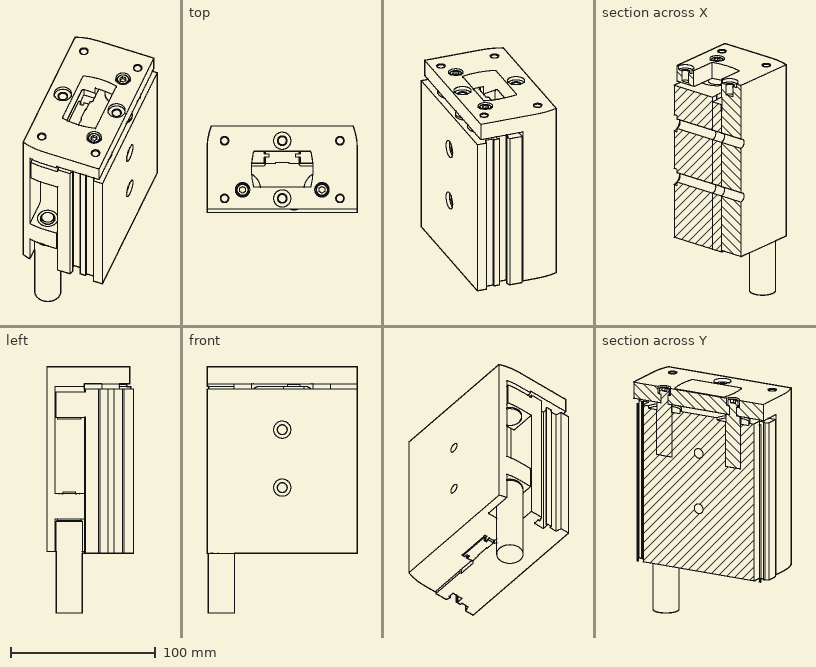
import cadquery as cq
import math


width = 104.0
depth = 60.0
height = 170.5
half_width = width / 2
margin = 8.5

plate_thickness = 12.0
plate_bottom = height - plate_thickness
pad_bottom = plate_bottom - 1.7
housing_top = plate_bottom - 3.4
housing_bottom = 41.3
slide_bottom = housing_bottom + 1.2

plate_front = -57.5
back_plate_thickness = 5.6
carriage_front = -26.0
carriage_left = -30.7
carriage_top = 146.6
edge_tangent = -15.5
edge_inset = 2.9
flank_fillet = 2.2
slide_lug_top = 82.7
slide_lug_bottom = 65.1

window_rear = -17.5
window_front = -42.3
window_end_half_width = 19.8
window_mid_half_width = 21.3
window_corner_radius = 1.2

recess_half_width = 21.5
recess_corner_radius = 6.0
recess_step = 0.2

tapped_hole_x = 39.9
rear_hole_y = -10.2
front_hole_y = -50.1
corner_thread_diameter = 5.0
corner_mouth_diameter = 6.0
middle_thread_diameter = 5.6
middle_mouth_diameter = 6.6
thread_depth = 10.2
mount_hole_diameter = 6.6
sleeve_diameter = 12.0
sleeve_depth = 2.5
mount_hole_heights = (86.8, 126.9)

rail_half_width = 11.6
rail_gap = 0.9
rail_top = 151.7
rail_groove_depth = 2.4
rail_groove_rear = -19.3
rail_groove_front = -21.5
key_half_width = 4.6
key_height = 0.5

housing_side_rear = -26.6
housing_middle_rear = -27.6
middle_half_width = 25.5
seat_half_width = 11.8
seat_flare = 0.9
housing_lug_rear = -6.5
housing_lug_right = -33.0
housing_lug_top = 153.0
housing_lug_bottom = 135.4
stop_diameter = 16.4
stop_height = 1.2
gland_diameter = 25.0
gland_depth = 1.7

slot_mouth_rear = -36.8
slot_mouth_front = -42.5
slot_lip_rear = -35.8
slot_lip_inset = 2.5
slot_cavity_rear = -35.6
slot_cavity_front = -43.6
slot_neck_inset = 3.5
slot_floor_inset = 7.7
band_inset = 2.5
side_groove_rear = -46.5
side_groove_front = -52.2
side_groove_mouth_front = -53.2
side_groove_inset = 4.1

port_x = 8.0
port_y = -51.2
port_flange_diameter = 14.0
port_flange_top = housing_top + 1.5
port_cap_diameter = 8.5
port_cap_top = plate_bottom - 0.3

rod_x = 27.5
rod_y = -44.2
rod_diameter = 12.1
rod_depth = 34.1
rod_neck_diameter = 5.6
rod_head_diameter = 8.5
rod_head_chamfer = 0.5
rod_head_bore = 10.0
rod_head_top = height - 0.7
rod_head_bottom = height - 5.1
socket_width = 4.0
socket_depth = 2.0

absorber_x = -42.1
absorber_y = edge_tangent
absorber_diameter = 18.2
absorber_chamfer = 0.5
absorber_collar_diameter = 16.4
absorber_collar_height = 1.2
absorber_neck_diameter = 14.2
absorber_tip_bore = 10.0
absorber_tip_diameter = 8.5
absorber_tip_height = 1.2
absorber_tip_bore_depth = 1.7


def box(x0, x1, y0, y1, z0, z1):
    """Box between two opposite corners, given axis by axis."""
    return cq.Workplane("XY").box(x1 - x0, y1 - y0, z1 - z0, centered=False).translate((x0, y0, z0))


def cylinder(diameter, x, y, z0, z1):
    """Upright cylinder from height z0 to height z1."""
    return cq.Workplane("XY", origin=(x, y, z0)).circle(diameter / 2).extrude(z1 - z0)


def curved_outline(front):
    """Upright prism over the full height, with its two rear edges curved inwards."""
    radius = (edge_tangent**2 + edge_inset**2) / (2 * edge_inset)
    half_angle = math.asin(-edge_tangent / radius) / 2
    rear_x = half_width - edge_inset
    mid_x = half_width - radius * (1 - math.cos(half_angle))
    mid_y = edge_tangent + radius * math.sin(half_angle)
    return (
        cq.Workplane("XY")
        .moveTo(-half_width, front)
        .lineTo(half_width, front)
        .lineTo(half_width, edge_tangent)
        .threePointArc((mid_x, mid_y), (rear_x, 0))
        .lineTo(-rear_x, 0)
        .threePointArc((-mid_x, mid_y), (-half_width, edge_tangent))
        .close()
        .extrude(height)
    )


def mounting_holes():
    """Two holes that run from front to rear, widened at the front for centring sleeves."""
    points = [(0, z) for z in mount_hole_heights]
    front = cq.Workplane("XZ", origin=(0, -depth, 0)).pushPoints(points)
    holes = front.circle(mount_hole_diameter / 2).extrude(-depth)
    sleeves = front.circle(sleeve_diameter / 2).extrude(-sleeve_depth)
    return holes.union(sleeves)



def slide_blank():
    """L-shaped block seen from the side, cut away at the left above and below the stop lug."""
    profile = (
        cq.Workplane("YZ", origin=(-half_width, 0, 0))
        .moveTo(0, slide_bottom)
        .lineTo(0, height)
        .lineTo(plate_front, height)
        .lineTo(plate_front, plate_bottom)
        .lineTo(carriage_front, plate_bottom)
        .lineTo(carriage_front, slide_bottom)
        .close()
        .extrude(width)
    )
    blank = profile.intersect(curved_outline(plate_front))
    upper = side_cutout(slide_lug_top, pad_bottom).edges("|Y and >X").fillet(flank_fillet)
    lower = side_cutout(slide_bottom - margin, slide_lug_bottom)
    lower = lower.edges("|Y and >X and >Z").fillet(flank_fillet)
    return blank.cut(upper).cut(lower)


def side_cutout(z0, z1):
    return box(-half_width - margin, carriage_left, carriage_front - margin, -back_plate_thickness, z0, z1)


def window():
    """Opening through the top plate with bowed sides, down to the top of the carriage."""
    mid_y = (window_rear + window_front) / 2
    return (
        cq.Workplane("XY", origin=(0, 0, carriage_top))
        .moveTo(-window_end_half_width, window_front)
        .lineTo(window_end_half_width, window_front)
        .threePointArc((window_mid_half_width, mid_y), (window_end_half_width, window_rear))
        .lineTo(-window_end_half_width, window_rear)
        .threePointArc((-window_mid_half_width, mid_y), (-window_end_half_width, window_front))
        .close()
        .extrude(height - carriage_top)
        .edges("|Z and >Y")
        .fillet(window_corner_radius)
    )


def window_recess():
    """Pocket from the front, slightly wider and deeper than the window, with round upper corners."""
    recess = box(
        -recess_half_width, recess_half_width, carriage_front,
        window_rear + recess_step, carriage_top, pad_bottom,
    )
    return recess.edges("|Y and >Z").fillet(recess_corner_radius)


def rail_channel():
    """Channel around the rail, leaving a tongue on each side that fills the rail's groove."""
    half = rail_half_width + rail_gap
    channel = box(-half, half, carriage_front, window_rear, slide_bottom, carriage_top)
    for side in (-1, 1):
        inner = side * (rail_half_width - rail_groove_depth)
        x0, x1 = sorted((inner, side * half))
        tongue = box(x0, x1, rail_groove_front, rail_groove_rear, slide_bottom, carriage_top)
        channel = channel.cut(tongue)
    return channel


def tapped_hole(x, y, top, thread_diameter, mouth_diameter):
    """Blind hole from the given height downwards, with a chamfered mouth."""
    chamfer = (mouth_diameter - thread_diameter) / 2
    hole = cylinder(thread_diameter, x, y, height - thread_depth, top)
    mouth = (
        cq.Workplane("XY", origin=(x, y, top))
        .circle(mouth_diameter / 2)
        .workplane(offset=-chamfer)
        .circle(thread_diameter / 2)
        .loft()
    )
    return hole.union(mouth)


def make_slide():
    slide = slide_blank().cut(window()).cut(window_recess()).cut(rail_channel())
    for y in (rear_hole_y, front_hole_y):
        for x in (-tapped_hole_x, tapped_hole_x):
            slide = slide.cut(tapped_hole(x, y, height, corner_thread_diameter, corner_mouth_diameter))
        sleeve_floor = height - sleeve_depth
        slide = slide.cut(cylinder(sleeve_diameter, 0, y, sleeve_floor, height))
        slide = slide.cut(tapped_hole(0, y, sleeve_floor, middle_thread_diameter, middle_mouth_diameter))
    for x in (-rod_x, rod_x):
        slide = slide.cut(cylinder(rod_head_bore, x, rod_y, rod_head_bottom, height))
        slide = slide.cut(cylinder(rod_neck_diameter, x, rod_y, plate_bottom, height))
    neck_bore = cylinder(absorber_neck_diameter, absorber_x, absorber_y, slide_lug_bottom, slide_lug_top)
    return slide.cut(neck_bore).cut(mounting_holes())



def make_rail():
    rail = box(-rail_half_width, rail_half_width, carriage_front, window_rear, housing_bottom, rail_top)
    for side in (-1, 1):
        x0, x1 = sorted((side * (rail_half_width - rail_groove_depth), side * rail_half_width))
        rail = rail.cut(box(x0, x1, rail_groove_front, rail_groove_rear, housing_bottom, rail_top))
    return rail.cut(rail_key(rail_top)).cut(mounting_holes())


def rail_key(top):
    """Low key on the housing that locates the rail sideways."""
    return box(
        -key_half_width, key_half_width, carriage_front, carriage_front + key_height, housing_bottom, top
    )



def housing_body():
    """Extruded profile with a rail seat at the rear and slots along both sides."""
    right_half = [
        (0, carriage_front),
        (seat_half_width, carriage_front),
        (seat_half_width, housing_middle_rear + seat_flare),
        (seat_half_width + seat_flare, housing_middle_rear),
        (middle_half_width, housing_middle_rear),
        (middle_half_width, housing_side_rear),
        (half_width, housing_side_rear),
        (half_width, slot_lip_rear),
        (half_width - slot_lip_inset, slot_mouth_rear),
        (half_width - slot_neck_inset, slot_mouth_rear),
        (half_width - slot_neck_inset, slot_cavity_rear),
        (half_width - slot_floor_inset, slot_cavity_rear),
        (half_width - slot_floor_inset, slot_cavity_front),
        (half_width - slot_neck_inset, slot_cavity_front),
        (half_width - slot_neck_inset, slot_mouth_front),
        (half_width - band_inset, slot_mouth_front),
        (half_width - band_inset, side_groove_rear),
        (half_width - side_groove_inset, side_groove_rear),
        (half_width - side_groove_inset, side_groove_front),
        (half_width, side_groove_mouth_front),
        (half_width, -depth),
        (0, -depth),
    ]
    length = housing_top - housing_bottom
    half = cq.Workplane("XY", origin=(0, 0, housing_bottom)).polyline(right_half).close().extrude(length)
    body = half.union(half.mirror("YZ"))
    return body.union(rail_key(housing_top))


def housing_lug():
    """Stop lug at the upper left, with a stop disc on its underside."""
    lug = box(
        -half_width, housing_lug_right, housing_side_rear, housing_lug_rear,
        housing_lug_bottom, housing_lug_top,
    )
    lug = lug.intersect(curved_outline(-depth))
    disc_bottom = housing_lug_bottom - stop_height
    return lug.union(cylinder(stop_diameter, absorber_x, absorber_y, disc_bottom, housing_lug_bottom))


def make_housing():
    housing = housing_body().union(housing_lug())
    housing = housing.union(cylinder(port_flange_diameter, port_x, port_y, housing_top, port_flange_top))
    housing = housing.union(cylinder(port_cap_diameter, port_x, port_y, port_flange_top, port_cap_top))
    for x in (-rod_x, rod_x):
        housing = housing.cut(cylinder(gland_diameter, x, rod_y, housing_top - gland_depth, housing_top))
        housing = housing.cut(cylinder(rod_diameter, x, rod_y, housing_top - rod_depth, housing_top))
    return housing.cut(mounting_holes())



def make_rod(x):
    """Piston rod with the head that fastens it to the top plate."""
    rod = cylinder(rod_diameter, x, rod_y, housing_top - rod_depth, plate_bottom)
    neck = cylinder(rod_neck_diameter, x, rod_y, plate_bottom, rod_head_bottom)
    head = cylinder(rod_head_diameter, x, rod_y, rod_head_bottom, rod_head_top)
    head = head.faces(">Z").chamfer(rod_head_chamfer)
    socket = (
        cq.Workplane("XY", origin=(x, rod_y, rod_head_top))
        .polygon(6, socket_width, circumscribed=True)
        .extrude(-socket_depth)
    )
    return rod.union(neck).union(head).cut(socket)



def make_absorber():
    collar_bottom = slide_lug_bottom - absorber_collar_height
    tip_bore_bottom = slide_lug_top - absorber_tip_bore_depth
    tip_top = slide_lug_top + absorber_tip_height

    def section(diameter, z0, z1):
        return cylinder(diameter, absorber_x, absorber_y, z0, z1)

    barrel = section(absorber_diameter, 0, collar_bottom).faces(">Z").chamfer(absorber_chamfer)
    collar = section(absorber_collar_diameter, collar_bottom, slide_lug_bottom)
    neck = section(absorber_neck_diameter, slide_lug_bottom, slide_lug_top)
    tip_bore = section(absorber_tip_bore, tip_bore_bottom, slide_lug_top)
    tip = section(absorber_tip_diameter, tip_bore_bottom, tip_top)
    return barrel.union(collar).union(neck).cut(tip_bore).union(tip)


housing = make_housing()
slide = make_slide()
rail = make_rail()
absorber = make_absorber()
rods = [make_rod(x) for x in (-rod_x, rod_x)]

result = cq.Compound.makeCompound(
    [housing.val(), slide.val(), rail.val(), absorber.val(), *[rod.val() for rod in rods]]
)